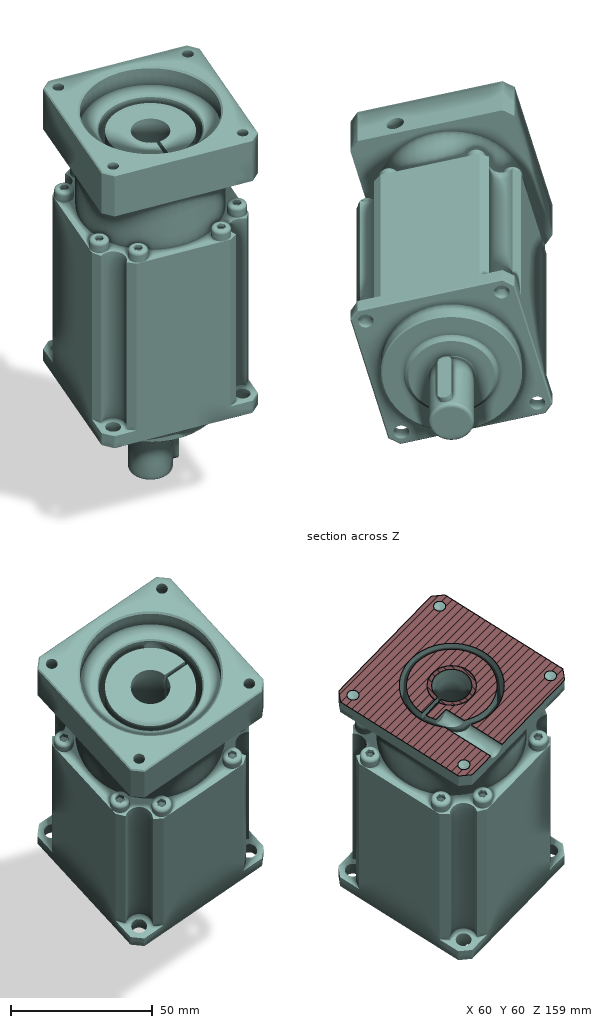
import cadquery as cq
import math

SIDE = 60.0
HALF = SIDE / 2
HEIGHT = 159
CORNER_CUT = 3.5
EDGE_CHAMFER = 0.5
BOLT_OFFSET = 24.8

Z_SEAL_END = 28.0
Z_CONE_END = 28.5
Z_PILOT_END = 30.0
Z_BODY_BOTTOM = 37.2
Z_MOUNT_TOP = 43
Z_BODY_TOP = 117.2
Z_FLANGE_BOTTOM = 140.7

SHAFT_R = 8
SHAFT_FILLET = 1.3
SEAL_R = 8.9
CONE_TIP_R = 15.3
CONE_BASE_R = CONE_TIP_R + Z_PILOT_END - Z_CONE_END
PILOT_R = 25.0
MOUNT_HOLE_D = 5.5

KEY_WIDTH = 5.0
KEY_LENGTH = 25.0
KEY_BOTTOM_Z = 2.0
KEY_SEAT_Y = 5.0
KEY_TOP_Y = 9.9

FACE_HALF = 18.0
RELIEF_NEAR = 21.0
RELIEF_FAR = 27.8
RELIEF_R = 5.0

SCREW_R = 3.5
SCREW_HEIGHT = 4.0
SCREW_FILLET = 1.1
SCREW_FAR = 26.4
SCREW_NEAR = 15.9
SOCKET_SIDES = 6
SOCKET_ACROSS_CORNERS = 3.5
SOCKET_DEPTH = 1.9

HUB_R = 16.0
Z_HUB_TOP = 149.8
BUSHING_R = 8.6
BUSHING_BORE_R = 7.0
BUSHING_LENGTH = 29.0
Z_BUSHING_BOTTOM = Z_HUB_TOP - BUSHING_LENGTH
SLIT_WIDTH = 1.5
SLIT_DEPTH = 22.3
CLAMP_X = 12.7
CLAMP_SEAT_Y = 5.0
CLAMP_R = 3.2
Z_CLAMP = Z_HUB_TOP - CLAMP_R

NECK_R = 26.5
POCKET_R = 25.0
POCKET_DEPTH = 8
POCKET_CHAMFER = 0.6
ADAPTER_BORE_R = 18.5
INPUT_HOLE_R = 2.0
INPUT_HOLE_DEPTH = 12.7
DRILL_TIP_ANGLE = 118

CORNERS = [(sx * BOLT_OFFSET, sy * BOLT_OFFSET) for sx in (-1, 1) for sy in (-1, 1)]


def cylinder(radius, z_bottom, z_top):
    return cq.Workplane("XY").workplane(offset=z_bottom).circle(radius).extrude(z_top - z_bottom)


def turned_solid(profile):
    """Solid of revolution about Z from (radius, height) points."""
    return cq.Workplane("XZ").polyline(profile).close().revolve(360, (0, 0, 0), (0, 1, 0))


def square_flange(z_bottom, z_top):
    """Square plate with flattened corners."""
    plate = cq.Workplane("XY").workplane(offset=z_bottom).rect(SIDE, SIDE).extrude(z_top - z_bottom)
    return plate.edges("|Z").chamfer(CORNER_CUT)


def quarter_turned(point, quarters):
    """The point turned about the axis by a number of quarter turns."""
    x, y = point
    for _ in range(quarters):
        x, y = -y, x
    return (x, y)


def relieved_column():
    """Square column with a round relief above each corner hole."""
    relief_middle = BOLT_OFFSET - RELIEF_R / math.sqrt(2)
    outline = cq.Workplane("XY").workplane(offset=Z_MOUNT_TOP).moveTo(HALF, -FACE_HALF)
    for side in range(4):
        face_end = quarter_turned((HALF, FACE_HALF), side)
        relief_start = quarter_turned((RELIEF_FAR, RELIEF_NEAR), side)
        relief_mid = quarter_turned((relief_middle, relief_middle), side)
        relief_end = quarter_turned((RELIEF_NEAR, RELIEF_FAR), side)
        outline = outline.lineTo(*face_end).lineTo(*relief_start).threePointArc(relief_mid, relief_end)
        outline = outline.lineTo(*quarter_turned((FACE_HALF, HALF), side))
    return outline.close().extrude(Z_BODY_TOP - Z_MOUNT_TOP)


def mounting_flange():
    """Output flange of the body with its four through holes."""
    flange = square_flange(Z_BODY_BOTTOM, Z_MOUNT_TOP).faces("<Z").edges().chamfer(EDGE_CHAMFER)
    holes = (
        cq.Workplane("XY")
        .workplane(offset=Z_BODY_BOTTOM)
        .pushPoints(CORNERS)
        .circle(MOUNT_HOLE_D / 2)
        .extrude(Z_MOUNT_TOP - Z_BODY_BOTTOM)
    )
    return flange.cut(holes)


def output_end():
    """Turned pilot, seal cone and output shaft."""
    profile = [
        (0, 0),
        (SHAFT_R, 0),
        (SHAFT_R, Z_SEAL_END),
        (SEAL_R, Z_SEAL_END),
        (SEAL_R, Z_CONE_END),
        (CONE_TIP_R, Z_CONE_END),
        (CONE_BASE_R, Z_PILOT_END),
        (PILOT_R - EDGE_CHAMFER, Z_PILOT_END),
        (PILOT_R, Z_PILOT_END + EDGE_CHAMFER),
        (PILOT_R, Z_BODY_BOTTOM),
        (0, Z_BODY_BOTTOM),
    ]
    return turned_solid(profile).faces("<Z").edges().fillet(SHAFT_FILLET)


def cap_screw_heads():
    """Eight socket screw heads standing on top of the body, two by each corner."""
    pair = [(SCREW_FAR, SCREW_NEAR), (SCREW_NEAR, SCREW_FAR)]
    places = [quarter_turned(point, side) for point in pair for side in range(4)]
    head = cylinder(SCREW_R, Z_BODY_TOP, Z_BODY_TOP + SCREW_HEIGHT).faces(">Z").edges().fillet(SCREW_FILLET)
    head = head.faces(">Z").workplane().polygon(SOCKET_SIDES, SOCKET_ACROSS_CORNERS).cutBlind(-SOCKET_DEPTH)
    return [head.translate((x, y, 0)) for x, y in places]


def clamp_slit():
    """Radial gap, open at the top, that lets the hub and its bushing close on the motor shaft."""
    slit = cq.Workplane("XY").box(HUB_R, SLIT_WIDTH, SLIT_DEPTH, centered=(False, True, False))
    return slit.translate((0, 0, Z_HUB_TOP - SLIT_DEPTH))


def clamp_axis_hole(y_start):
    """Round hole along the clamping screw's axis, from y_start out to the +Y side."""
    length = HALF - y_start
    return cq.Workplane("XZ", origin=(CLAMP_X, y_start, Z_CLAMP)).circle(CLAMP_R).extrude(-length)


def input_hub():
    """Slit clamping hub with a seat for the bushing."""
    hub = cylinder(HUB_R, Z_BODY_TOP, Z_HUB_TOP).cut(cylinder(BUSHING_R, Z_BUSHING_BOTTOM, Z_HUB_TOP))
    return hub.cut(clamp_slit()).cut(clamp_axis_hole(CLAMP_SEAT_Y))


def drilled_hole():
    """Blind corner hole with a pointed bottom."""
    z_bottom = HEIGHT - INPUT_HOLE_DEPTH
    z_tip = z_bottom - INPUT_HOLE_R / math.tan(math.radians(DRILL_TIP_ANGLE / 2))
    profile = [(0, z_tip), (INPUT_HOLE_R, z_bottom), (INPUT_HOLE_R, HEIGHT), (0, HEIGHT)]
    return turned_solid(profile)


def input_adapter():
    """Motor flange and round neck around the hub, with the motor's pilot pocket."""
    z_pocket = HEIGHT - POCKET_DEPTH
    flange = square_flange(Z_FLANGE_BOTTOM, HEIGHT).faces(">Z").edges().chamfer(EDGE_CHAMFER)
    adapter = flange.union(cylinder(NECK_R, Z_BODY_TOP, Z_FLANGE_BOTTOM))
    opening = [
        (0, Z_BODY_TOP),
        (ADAPTER_BORE_R, Z_BODY_TOP),
        (ADAPTER_BORE_R, z_pocket - EDGE_CHAMFER),
        (ADAPTER_BORE_R + EDGE_CHAMFER, z_pocket),
        (POCKET_R, z_pocket),
        (POCKET_R, HEIGHT - POCKET_CHAMFER),
        (POCKET_R + POCKET_CHAMFER, HEIGHT),
        (0, HEIGHT),
    ]
    adapter = adapter.cut(turned_solid(opening))
    for x, y in CORNERS:
        adapter = adapter.cut(drilled_hole().translate((x, y, 0)))
    return adapter.cut(clamp_axis_hole(0))


def shaft_key():
    """Round-ended key; its lower half sits in the shaft."""
    key_middle_z = KEY_BOTTOM_Z + KEY_LENGTH / 2
    return (
        cq.Workplane("XZ", origin=(0, KEY_SEAT_Y, key_middle_z))
        .slot2D(KEY_LENGTH, KEY_WIDTH, 90)
        .extrude(KEY_SEAT_Y - KEY_TOP_Y)
    )


def make_gearbox():
    gearbox = relieved_column().union(mounting_flange()).union(output_end()).union(shaft_key())
    gearbox = gearbox.union(input_adapter()).union(input_hub())
    for head in cap_screw_heads():
        gearbox = gearbox.union(head)
    return gearbox


def make_bushing():
    """Slit bushing, flush with the top of the hub."""
    tube = cylinder(BUSHING_R, Z_BUSHING_BOTTOM, Z_HUB_TOP)
    bore = cylinder(BUSHING_BORE_R, Z_BUSHING_BOTTOM, Z_HUB_TOP)
    return tube.cut(bore).cut(clamp_slit())


gearbox = make_gearbox()
bushing = make_bushing()

result = cq.Compound.makeCompound([gearbox.solids().val(), bushing.solids().val()])